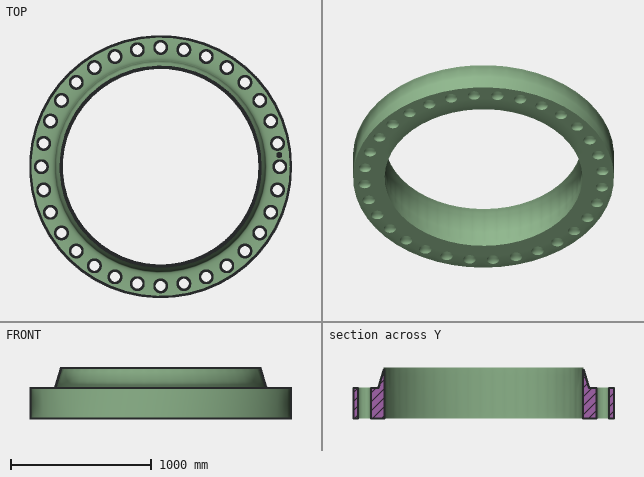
import cadquery as cq
import math

flange_diameter = 1854.0
flange_thickness = 219.0
overall_height = 361.0
bore_diameter = 1405.0

neck_base_diameter = 1501.0
neck_top_diameter = 1420.0
land_height = 7.0
neck_root_fillet = 7.0
neck_top_blend = 19.0

bolt_count = 32
bolt_circle_diameter = 1695.0
bolt_hole_diameter = 87.0

small_hole_diameter = 26.0
small_hole_depth = 55.0
pilot_diameter = 13.0
pilot_depth = 75.0

bolt_circle_radius = bolt_circle_diameter / 2
small_hole_angle = math.radians(360.0 / bolt_count / 2)


def flange_body():
    """Half section revolved about Z, with both ends of the neck taper rounded."""
    body = (
        cq.Workplane("XZ")
        .moveTo(bore_diameter / 2, 0)
        .lineTo(flange_diameter / 2, 0)
        .lineTo(flange_diameter / 2, flange_thickness)
        .lineTo(neck_base_diameter / 2, flange_thickness)
        .lineTo(neck_top_diameter / 2, overall_height - land_height)
        .lineTo(neck_top_diameter / 2, overall_height)
        .lineTo(bore_diameter / 2, overall_height)
        .close()
        .revolve(360, (0, 0), (0, 1))
    )
    body = body.faces("%CONE").edges("<Z").fillet(neck_root_fillet)
    return body.faces("%CONE").edges(">Z").fillet(neck_top_blend)


def bolt_holes():
    """Ring of through holes, the first one on the +X axis."""
    return (
        cq.Workplane("XY")
        .polarArray(bolt_circle_radius, 0, 360, bolt_count)
        .circle(bolt_hole_diameter / 2)
        .extrude(flange_thickness)
    )


def small_hole(diameter, depth):
    """Round blind hole sunk from the upper face of the flange."""
    return (
        cq.Workplane("XY")
        .workplane(offset=flange_thickness)
        .center(
            bolt_circle_radius * math.cos(small_hole_angle),
            bolt_circle_radius * math.sin(small_hole_angle),
        )
        .circle(diameter / 2)
        .extrude(-depth)
    )


result = (
    flange_body()
    .cut(bolt_holes())
    .cut(small_hole(small_hole_diameter, small_hole_depth))
    .cut(small_hole(pilot_diameter, pilot_depth))
)